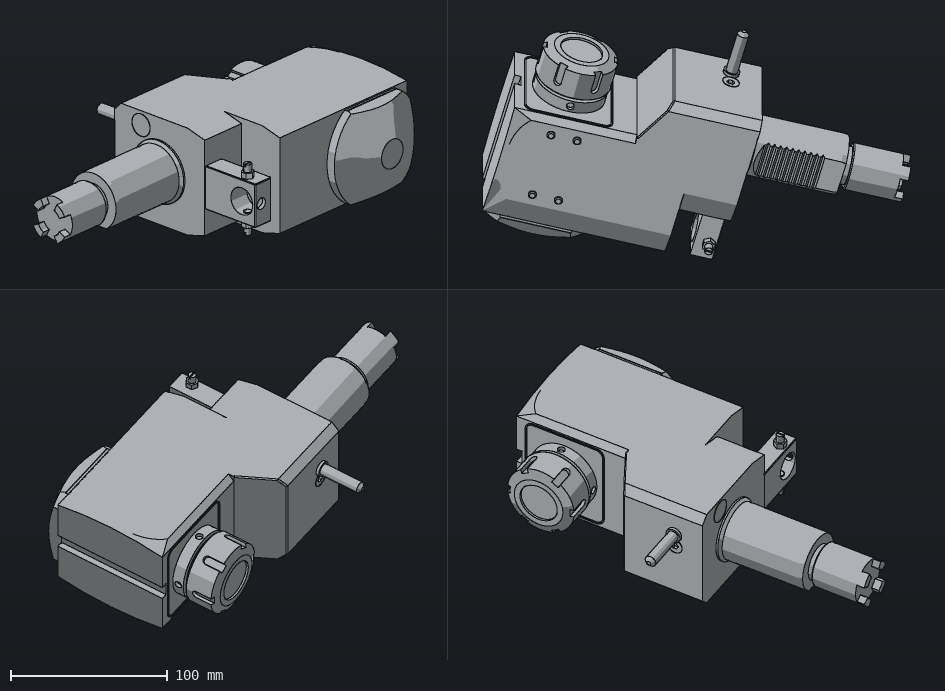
import cadquery as cq
import math


half_height = 37.5
foot_width = 78.0
left_x = -foot_width / 2
foot_right_x = foot_width / 2
head_left_x = -8.9
head_right_x = 72.0
foot_depth = 35.0
slope_start_y = 58.5
slope_end_y = 74.9
rear_y = 155.7
foot_bevel = 5.5
head_bevel = 4.2
side_bevel_run = 14.9
side_bevel_angle = math.radians(15)
side_bevel_drop = side_bevel_run * math.tan(side_bevel_angle)
slope_edge_chamfer = 0.8
rear_bevel_depth = 12.0
rear_crown_drop = 0.4
rear_curve_points = [(5.7, 150.2), (19.5, 152.5), (37.0, 149.2)]
rear_slot_width = 10.2
rear_slot_depth = 4.2

spindle_y = 120.0
ring_radius = 24.0
ring_front_x = -17.0
ring_hole_x = -13.0
ring_hole_diameter = 5.0
ring_hole_depth = 2.5
ring_hole_count = 4
neck_radius = 20.5
nut_radius = 24.8
nut_back_x = -19.0
nut_cone_x = -38.9
nut_front_x = -41.5
nut_face_radius = 18.0
nut_recess_radius = 13.8
nut_recess_depth = 1.5
nut_edge_chamfer = 0.8
nut_slot_count = 6
nut_slot_width = 5.5
nut_slot_end_x = -24.8
nut_slot_floor_radius = 22.2
cap_radius = 40.2
cap_tip_radius = 10.2
cap_relief_end_x = 74.3
cap_relief_depth = 1.0
cap_cone_x = 78.3
cap_tip_x = 91.8
cap_flat_y = 151.8

cover_center_y = 120.0
cover_length = 58.5
cover_height = 63.5
cover_corner_radius = 6.0
seam_width = 1.0
seam_depth = 0.5

collar_radius = 22.0
collar_length = 2.0
collar_lip_length = 0.8
collar_lip_radius = 21.0
collar_taper_end_y = -3.5
shank_diameter = 40.0
shank_radius = shank_diameter / 2
shank_end_y = -62.9
shank_chamfer_length = 3.0
shank_chamfer_depth = 0.4
shank_neck_radius = 12.5
coupling_radius = 15.5
coupling_start_y = -66.8
coupling_chamfer = 0.8
coupling_floor_y = -99.6
shank_tip_y = -105.0
dog_inner_radius = 10.2
dog_count = 4
dog_half_angle = 18
flat_z = -16.2
flat_start_y = -8.9
groove_count = 10
groove_row_length = 36.0
groove_pitch = groove_row_length / (groove_count - 1)
first_groove_y = -11.2
groove_depth = 1.0
groove_half_width = 1.3

arm_end_x = 82.0
arm_front_y = 0.9
arm_rear_y = 16.0
arm_height = 30.5
arm_half_height = arm_height / 2
arm_chamfer = 0.5
bore_x = 70.2
bore_radius = 9.5
stud_y = 6.5
stud_radius = 2.5
stud_half_span = 24.8
stud_inner_z = 8.5
stud_slot_width = 0.8
stud_slot_depth = 1.5
hex_across_corners = 8.5
hex_top_z = 19.3
end_hole_radius = 4.0

pin_y = 20.5
pin_z = 16.0
pin_radius = 4.0
pin_tip_x = -71.7
pin_chamfer = 2.3
pin_collar_radius = 5.2
pin_collar_length = 2.0
plug_recess = 0.3
side_plug_z = 5.7
side_plug_radius = 5.5
side_plug_hex = 5.0
side_plug_hex_depth = 2.5
front_plug_x = -16.2
front_plug_z = 27.5
front_plug_radius = 7.8
screw_xs = (2.5, 49.3)
screw_ys = (111.5, 128.5)
screw_radius = 2.5
screw_head_height = 1.5
screw_chamfer = 0.8


def revolve_on_spindle(profile):
    """Solid of revolution about the spindle axis from (x, radius) points."""
    points = [(x, spindle_y + radius) for x, radius in profile]
    sketch = cq.Workplane("XY").polyline(points).close()
    return sketch.revolve(360, (0, spindle_y, 0), (1, spindle_y, 0))


def edge_wedge(edge_x, run, drop, start_y, end_y):
    """Wedges that bevel the top and bottom edges of a side face; run points inward along X."""
    wedge = (
        cq.Workplane("XZ", origin=(0, start_y, 0))
        .polyline([
            (edge_x, half_height),
            (edge_x + run, half_height),
            (edge_x, half_height - drop),
        ])
        .close()
        .extrude(start_y - end_y)
    )
    return wedge.union(wedge.mirror("XY"))


def rear_bevel():
    """Crowned bevel along the rear top edge, ruled between two curves."""
    inner_y = rear_y - rear_bevel_depth
    top_left = cq.Vector(head_left_x + head_bevel, inner_y, half_height)
    top_right = cq.Vector(head_right_x - side_bevel_run, inner_y, half_height)
    rear_left = cq.Vector(head_left_x, rear_y, half_height - head_bevel)
    rear_right = cq.Vector(head_right_x, rear_y, half_height - side_bevel_drop)
    crown_x = (head_left_x + head_right_x) / 2
    crown = cq.Vector(crown_x, rear_y, half_height - rear_crown_drop)
    corner_left = cq.Vector(head_left_x, rear_y, half_height)
    corner_right = cq.Vector(head_right_x, rear_y, half_height)

    line = cq.Edge.makeLine
    top_curve = cq.Edge.makeSpline([
        top_left,
        *[cq.Vector(x, y, half_height) for x, y in rear_curve_points],
        top_right,
    ])
    rear_curve = cq.Edge.makeThreePointArc(rear_left, crown, rear_right)
    corner = line(corner_left, corner_right)
    left_drop = line(corner_left, rear_left)
    right_drop = line(corner_right, rear_right)
    left_top = line(corner_left, top_left)
    right_top = line(corner_right, top_right)
    left_mitre = line(top_left, rear_left)
    right_mitre = line(top_right, rear_right)

    loops = [
        [top_curve, right_top, corner, left_top],
        [rear_curve, right_drop, corner, left_drop],
        [left_top, left_mitre, left_drop],
        [right_top, right_mitre, right_drop],
    ]
    faces = [cq.Face.makeFromWires(cq.Wire.assembleEdges(loop)) for loop in loops]
    faces.append(cq.Face.makeRuledSurface(top_curve, rear_curve))
    bevel = cq.Workplane(cq.Solid.makeSolid(cq.Shell.makeShell(faces)))
    return bevel.union(bevel.mirror("XY"))


def housing():
    outline = [
        (left_x, 0),
        (foot_right_x, 0),
        (foot_right_x, foot_depth),
        (head_right_x, foot_depth),
        (head_right_x, rear_y),
        (head_left_x, rear_y),
        (head_left_x, slope_end_y),
        (left_x, slope_start_y),
    ]
    body = (
        cq.Workplane("XY", origin=(0, 0, -half_height))
        .polyline(outline)
        .close()
        .extrude(2 * half_height)
    )
    body = body.cut(edge_wedge(left_x, foot_bevel, foot_bevel, 0, slope_end_y))
    slope_normal = cq.Vector(slope_start_y - slope_end_y, head_left_x - left_x, 0)
    slope_face = body.faces(cq.selectors.ParallelDirSelector(slope_normal))
    inner_corner = cq.selectors.NearestToPointSelector((head_left_x, slope_end_y, 0))
    slope_edges = slope_face.edges(cq.selectors.InverseSelector(inner_corner))
    body = slope_edges.chamfer(slope_edge_chamfer)
    body = body.cut(edge_wedge(head_left_x, head_bevel, head_bevel, slope_end_y, rear_y))
    body = body.cut(edge_wedge(foot_right_x, -side_bevel_run, side_bevel_drop, 0, foot_depth))
    body = body.cut(edge_wedge(head_right_x, -side_bevel_run, side_bevel_drop, foot_depth, rear_y))
    body = body.cut(rear_bevel())
    slot_length = head_right_x - head_left_x
    slot = cq.Workplane("XY").box(slot_length, 2 * rear_slot_depth, rear_slot_width)
    return body.cut(slot.translate(((head_left_x + head_right_x) / 2, rear_y, 0)))


def cover_seam():
    def rounded_block(inset):
        return (
            cq.Workplane("YZ", origin=(head_left_x, cover_center_y, 0))
            .rect(cover_length - 2 * inset, cover_height - 2 * inset)
            .extrude(seam_depth)
            .edges("|X")
            .fillet(cover_corner_radius - inset)
        )

    return rounded_block(0).cut(rounded_block(seam_width))


def collet_nut():
    nut = revolve_on_spindle([
        (head_left_x, 0),
        (head_left_x, ring_radius),
        (ring_front_x, ring_radius),
        (ring_front_x, neck_radius),
        (nut_back_x, neck_radius),
        (nut_back_x, nut_radius - nut_edge_chamfer),
        (nut_back_x - nut_edge_chamfer, nut_radius),
        (nut_cone_x, nut_radius),
        (nut_front_x, nut_face_radius),
        (nut_front_x, nut_recess_radius),
        (nut_front_x + nut_recess_depth, nut_recess_radius),
        (nut_front_x + nut_recess_depth, 0),
    ])
    slot_height = 2 * (nut_radius - nut_slot_floor_radius)
    slot_end = nut_slot_end_x - nut_slot_width / 2
    slot = (
        cq.Workplane("XY", origin=(0, spindle_y, nut_slot_floor_radius))
        .moveTo(nut_front_x, -nut_slot_width / 2)
        .lineTo(slot_end, -nut_slot_width / 2)
        .threePointArc((nut_slot_end_x, 0), (slot_end, nut_slot_width / 2))
        .lineTo(nut_front_x, nut_slot_width / 2)
        .close()
        .extrude(slot_height)
    )
    hole = (
        cq.Workplane("XY", origin=(ring_hole_x, spindle_y, ring_radius - ring_hole_depth))
        .circle(ring_hole_diameter / 2)
        .extrude(2 * ring_hole_depth)
    )
    axis = ((0, spindle_y, 0), (1, spindle_y, 0))
    for index in range(nut_slot_count):
        nut = nut.cut(slot.rotate(*axis, 360 * (index + 0.5) / nut_slot_count))
    for index in range(ring_hole_count):
        nut = nut.cut(hole.rotate(*axis, 360 * index / ring_hole_count))
    return nut


def cap():
    """Conical end cap trimmed by the side bevel planes and a rear flat."""
    cone = revolve_on_spindle([
        (head_right_x, 0),
        (head_right_x, cap_radius),
        (cap_cone_x, cap_radius),
        (cap_tip_x, cap_tip_radius),
        (cap_tip_x, 0),
    ])
    bevel_slope = math.tan(side_bevel_angle)
    root_z = half_height - side_bevel_drop
    relief_z = root_z - cap_relief_depth
    step_z = root_z - (cap_relief_end_x - head_right_x) * bevel_slope
    tip_z = root_z - (cap_tip_x - head_right_x) * bevel_slope
    upper_edge = [
        (head_right_x, relief_z),
        (cap_relief_end_x, relief_z),
        (cap_relief_end_x, step_z),
        (cap_tip_x, tip_z),
    ]
    lower_edge = [(x, -z) for x, z in reversed(upper_edge)]
    envelope = (
        cq.Workplane("XZ", origin=(0, cap_flat_y, 0))
        .polyline(upper_edge + lower_edge)
        .close()
        .extrude(cap_flat_y - spindle_y + cap_radius)
    )
    return cone.intersect(envelope)


def shank():
    profile = [
        (0, 0),
        (collar_radius, 0),
        (collar_radius, collar_lip_length - collar_length),
        (collar_lip_radius, -collar_length),
        (shank_radius, collar_taper_end_y),
        (shank_radius, shank_end_y + shank_chamfer_length),
        (shank_radius - shank_chamfer_depth, shank_end_y),
        (shank_neck_radius, shank_end_y),
        (shank_neck_radius, coupling_start_y),
        (coupling_radius - coupling_chamfer, coupling_start_y),
        (coupling_radius, coupling_start_y - coupling_chamfer),
        (coupling_radius, shank_tip_y),
        (0, shank_tip_y),
    ]
    body = cq.Workplane("XY").polyline(profile).close().revolve(360, (0, 0, 0), (0, 1, 0))
    return body.cut(toothed_flat()).cut(drive_gaps())


def toothed_flat():
    """Clamping flat under the shank with its sloped run-out and row of V grooves."""
    below_z = -collar_radius
    outline = [
        (shank_end_y, below_z),
        (shank_end_y, flat_z),
    ]
    for index in reversed(range(groove_count)):
        groove_y = first_groove_y - index * groove_pitch
        outline.append((groove_y - groove_half_width, flat_z))
        outline.append((groove_y, flat_z + groove_depth))
        outline.append((groove_y + groove_half_width, flat_z))
    outline.append((flat_start_y, flat_z))
    outline.append((flat_start_y + flat_z - below_z, below_z))
    return (
        cq.Workplane("YZ", origin=(-collar_radius, 0, 0))
        .polyline(outline)
        .close()
        .extrude(2 * collar_radius)
    )


def drive_gaps():
    """Space between the drive dogs, which stay on the diagonals of the shank end."""
    gap_half_angle = math.radians(180 / dog_count - dog_half_angle)
    reach = 2 * coupling_radius
    half_width = reach * math.tan(gap_half_angle)
    end_plane = cq.Workplane("XZ", origin=(0, coupling_floor_y, 0))
    depth = coupling_floor_y - shank_tip_y
    gap = end_plane.polyline([(0, 0), (reach, -half_width), (reach, half_width)]).close().extrude(depth)
    gaps = end_plane.circle(dog_inner_radius).extrude(depth)
    for index in range(dog_count):
        gaps = gaps.union(gap.rotate((0, 0, 0), (0, 1, 0), 360 * index / dog_count))
    return gaps


def support_arm():
    arm_length = arm_end_x - foot_right_x
    arm = (
        cq.Workplane("XY")
        .box(arm_length, arm_rear_y - arm_front_y, arm_height, centered=(False, False, True))
        .translate((foot_right_x, arm_front_y, 0))
    )
    arm = arm.edges(">X or <Y").edges("not <X").chamfer(arm_chamfer)
    bore = (
        cq.Workplane("XZ", origin=(bore_x, arm_front_y, 0))
        .circle(bore_radius)
        .extrude(arm_front_y - arm_rear_y)
    )
    end_hole = (
        cq.Workplane("YZ", origin=(bore_x, stud_y, 0))
        .circle(end_hole_radius)
        .extrude(arm_end_x - bore_x)
    )
    stud = (
        cq.Workplane("XY", origin=(bore_x, stud_y, stud_inner_z))
        .circle(stud_radius)
        .extrude(stud_half_span - stud_inner_z)
    )
    stud_slot = cq.Workplane("XY").box(stud_slot_width, 2 * stud_radius, 2 * stud_slot_depth)
    stud = stud.cut(stud_slot.translate((bore_x, stud_y, stud_half_span)))
    hex_nut = (
        cq.Workplane("XY", origin=(bore_x, stud_y, arm_half_height))
        .polygon(6, hex_across_corners)
        .extrude(hex_top_z - arm_half_height)
    )
    adjuster = stud.union(hex_nut)
    arm = arm.cut(bore).cut(end_hole)
    return arm.union(adjuster).union(adjuster.mirror("XY"))


def locating_pin():
    collar = (
        cq.Workplane("YZ", origin=(left_x, pin_y, pin_z))
        .circle(pin_collar_radius)
        .extrude(-pin_collar_length)
    )
    pin = (
        cq.Workplane("YZ", origin=(left_x, pin_y, pin_z))
        .circle(pin_radius)
        .extrude(pin_tip_x - left_x)
        .faces("<X")
        .chamfer(pin_chamfer)
    )
    return pin.union(collar)


def plug_recesses():
    side_plug = (
        cq.Workplane("YZ", origin=(left_x, pin_y, side_plug_z))
        .circle(side_plug_radius)
        .extrude(plug_recess)
    )
    socket = (
        cq.Workplane("YZ", origin=(left_x, pin_y, side_plug_z))
        .polygon(6, side_plug_hex)
        .extrude(side_plug_hex_depth)
    )
    front_plug = (
        cq.Workplane("XZ", origin=(front_plug_x, 0, front_plug_z))
        .circle(front_plug_radius)
        .extrude(-plug_recess)
    )
    return side_plug.union(socket).union(front_plug)


def bottom_screws():
    places = [(x, y) for x in screw_xs for y in screw_ys]
    return (
        cq.Workplane("XY", origin=(0, 0, -half_height))
        .pushPoints(places)
        .circle(screw_radius)
        .extrude(-screw_head_height)
        .faces("<Z")
        .chamfer(screw_chamfer)
    )


result = (
    housing()
    .cut(cover_seam())
    .cut(plug_recesses())
    .union(collet_nut())
    .union(cap())
    .union(shank())
    .union(support_arm())
    .union(locating_pin())
    .union(bottom_screws())
)